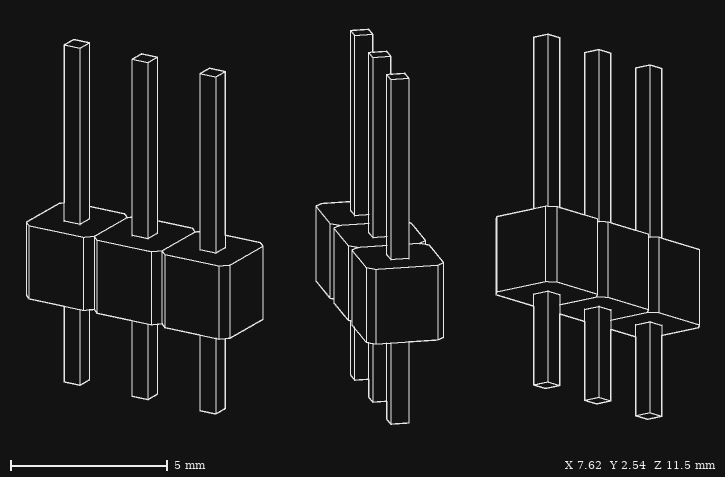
import cadquery as cq

pin_count = 3
pitch = 2.54
housing_height = 2.5
corner_chamfer = 0.25
pin_width = 0.6
pin_length = 11.5
tail_length = 3.0


def make_housing(x):
    """Square block with chamfered vertical edges and a through hole for its pin."""
    block = cq.Workplane("XY").box(pitch, pitch, housing_height, centered=(True, True, False))
    block = block.edges("|Z").chamfer(corner_chamfer)
    block = block.faces(">Z").workplane().rect(pin_width, pin_width).cutThruAll()
    return block.translate((x, 0, 0))


def make_pin(x):
    """Straight square pin that fills the housing hole and extends past both ends."""
    pin = cq.Workplane("XY").box(pin_width, pin_width, pin_length, centered=(True, True, False))
    return pin.translate((x, 0, -tail_length))


housings = []
pins = []
for index in range(pin_count):
    x = (index - (pin_count - 1) / 2) * pitch
    housings.append(make_housing(x).val())
    pins.append(make_pin(x).val())

result = cq.Compound.makeCompound([*housings, *pins])